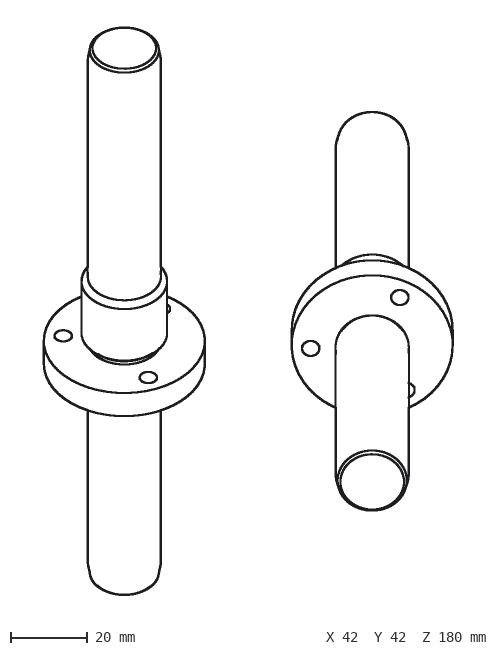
import cadquery as cq

length = 180.0
shaft_radius = 9.5

taper_start = 4.1
taper_end = 0.7
taper_tip_radius = 9.0
end_face_radius = 8.3

flange_diameter = 42.0
flange_bottom = 72.0
flange_thickness = 8.0
flange_top = flange_bottom + flange_thickness
relief_height = 1.0
relief_radius = 9.0

seat_radius = 11.2
seat_bottom = 81.0
seat_top = 101.9
seat_chamfer = seat_radius - shaft_radius

hole_count = 3
hole_diameter = 4.5
bolt_circle_radius = 16.0


def make_shaft():
    """Revolve the stepped half-profile, listed as (radius, height)."""
    profile = [
        (0, 0),
        (end_face_radius, 0),
        (taper_tip_radius, taper_end),
        (shaft_radius, taper_start),
        (shaft_radius, flange_bottom - relief_height),
        (relief_radius, flange_bottom),
        (flange_diameter / 2, flange_bottom),
        (flange_diameter / 2, flange_top),
        (shaft_radius, flange_top),
        (shaft_radius, seat_bottom),
        (seat_radius, seat_bottom + seat_chamfer),
        (seat_radius, seat_top - seat_chamfer),
        (shaft_radius, seat_top),
        (shaft_radius, length - taper_start),
        (taper_tip_radius, length - taper_end),
        (end_face_radius, length),
        (0, length),
    ]
    return cq.Workplane("XZ").polyline(profile).close().revolve(360, (0, 0, 0), (0, 1, 0))


def make_flange_holes():
    """Equally spaced through holes, the first one on +X."""
    return (
        cq.Workplane("XY")
        .workplane(offset=flange_bottom)
        .polarArray(bolt_circle_radius, 0, 360, hole_count)
        .circle(hole_diameter / 2)
        .extrude(flange_thickness)
    )


result = make_shaft().cut(make_flange_holes())